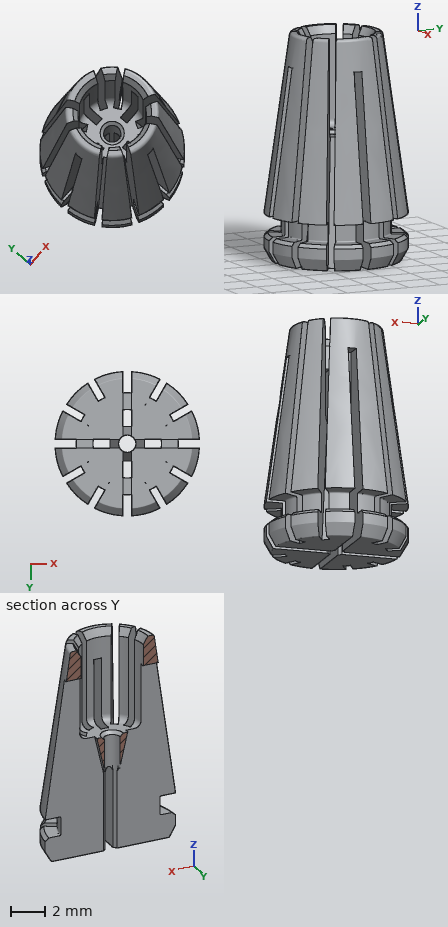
import cadquery as cq
import math

height = 13.6
rim_diameter = 8.5
taper_angle = 8.0

rim_top = 1.59
rim_top_chamfer = (0.23, 0.2)
nose_chamfer_height = 0.72
nose_chamfer_angle = 30.0
groove_diameter = 6.47
groove_top = 2.82
groove_fillet = 0.08
nose_fillet = 0.05

grip_diameter = 1.0
grip_mouth_chamfer = 0.2
rear_bore_diameter = 4.01
rear_bore_floor = 7.59
rear_bore_fillet = 0.42
rear_mouth_chamfer = (0.3, 0.5)
rear_edge_fillet = 0.2

front_slot_width = 0.5
front_slot_count = 4
front_slot_top = 11.7
front_floor_radius = 1.02
front_floor_end = 5.33
rear_slot_width = 0.45
rear_slot_angles = (30, 60)
rear_floor_inner_radius = 1.51
rear_floor_outer_radius = 3.02

selection_margin = 0.01

rim_radius = rim_diameter / 2
slot_reach = rim_diameter
groove_radius = groove_diameter / 2
grip_radius = grip_diameter / 2
rear_bore_radius = rear_bore_diameter / 2
tip_radius = rim_radius - (height - groove_top) * math.tan(math.radians(taper_angle))
nose_radius = rim_radius - nose_chamfer_height * math.tan(math.radians(nose_chamfer_angle))


def revolve(points):
    """Turn a closed outline of (radius, height) points about the Z axis."""
    return cq.Workplane("XZ").polyline(points).close().revolve(360, (0, 0), (0, 1))


def circle_at(radius, level):
    """Selector for the circular edge of the given radius at the given height."""
    reach = radius + selection_margin
    return cq.selectors.BoxSelector(
        (-reach, -reach, level - selection_margin),
        (reach, reach, level + selection_margin),
        boundingbox=True,
    )


def turned_body():
    radial, axial = rim_top_chamfer
    body = revolve([
        (0, 0),
        (nose_radius, 0),
        (rim_radius, nose_chamfer_height),
        (rim_radius, rim_top - axial),
        (rim_radius - radial, rim_top),
        (groove_radius, rim_top),
        (groove_radius, groove_top),
        (rim_radius, groove_top),
        (tip_radius, height),
        (0, height),
    ])
    body = body.edges(circle_at(tip_radius, height)).fillet(rear_edge_fillet)
    for level in (rim_top, groove_top):
        body = body.edges(circle_at(groove_radius, level)).fillet(groove_fillet)
    for radius, level in ((nose_radius, 0), (rim_radius, nose_chamfer_height)):
        body = body.edges(circle_at(radius, level)).fillet(nose_fillet)
    return body


def bores():
    radial, axial = rear_mouth_chamfer
    rear_bore = revolve([
        (0, rear_bore_floor),
        (rear_bore_radius, rear_bore_floor),
        (rear_bore_radius, height - axial),
        (rear_bore_radius + radial, height),
        (0, height),
    ])
    rear_bore = rear_bore.faces("<Z").edges().fillet(rear_bore_fillet)
    grip_bore = revolve([
        (0, 0),
        (grip_radius, 0),
        (grip_radius, rear_bore_floor - grip_mouth_chamfer),
        (grip_radius + grip_mouth_chamfer, rear_bore_floor),
        (0, rear_bore_floor),
    ])
    return rear_bore.union(grip_bore)


def radial_slot(points, width):
    """Slot along +X from a closed outline of (radius, height) points."""
    return cq.Workplane("XZ").polyline(points).close().extrude(width / 2, both=True)


def front_slot():
    """Slot open at the lower end, undercutting the core until it breaks into the grip bore."""
    floor_slope = (rear_bore_floor - front_floor_end) / (front_floor_radius - grip_radius)
    axis_height = front_floor_end - floor_slope * grip_radius
    return radial_slot([
        (0, 0),
        (slot_reach, 0),
        (slot_reach, front_slot_top),
        (front_floor_radius, front_slot_top),
        (front_floor_radius, rear_bore_floor),
        (0, axis_height),
    ], front_slot_width)


def rear_slot():
    """Slot along +X, open at the top, with a floor that slopes outward to the lower end."""
    floor_slope = (rear_floor_outer_radius - rear_floor_inner_radius) / rear_bore_floor
    top_radius = rear_floor_outer_radius - floor_slope * height
    return radial_slot([
        (rear_floor_outer_radius, 0),
        (slot_reach, 0),
        (slot_reach, height),
        (top_radius, height),
    ], rear_slot_width)


def turn(shape, angle):
    return shape.rotate((0, 0, 0), (0, 0, 1), angle)


result = turned_body().cut(bores())
quadrant = 360 / front_slot_count
for index in range(front_slot_count):
    result = result.cut(turn(front_slot(), index * quadrant))
    for angle in rear_slot_angles:
        result = result.cut(turn(rear_slot(), index * quadrant + angle))